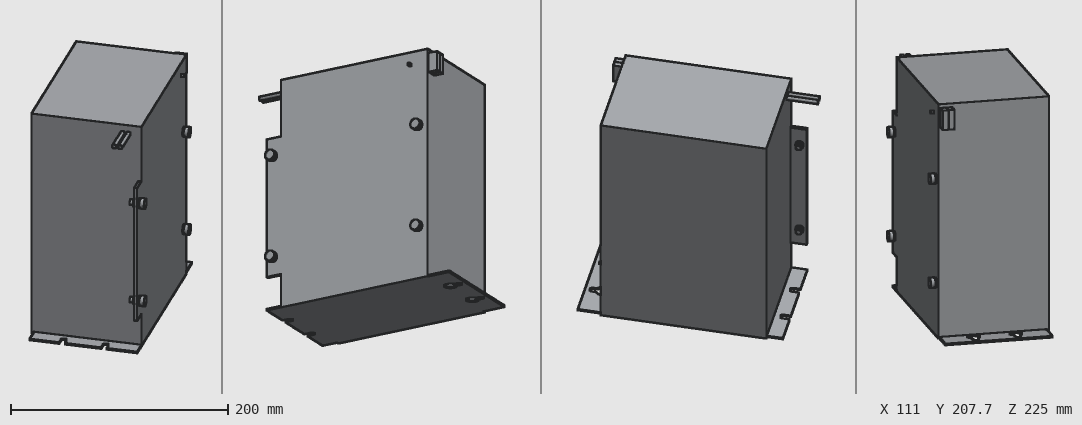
import cadquery as cq

BOX_X = 105.0
BOX_Y = 156.2
BOX_Z = 225.0

FLANGE_LEFT = 2.5
FLANGE_RIGHT = 104.2
FLANGE_THICKNESS = 1.5
FRONT_FLANGE_LENGTH = 15.0
REAR_FLANGE_LENGTH = 22.3
MOUNT_PITCH = 40.0
MOUNT_CENTRE = (FLANGE_LEFT + FLANGE_RIGHT) / 2
MOUNT_XS = (MOUNT_CENTRE - MOUNT_PITCH / 2, MOUNT_CENTRE + MOUNT_PITCH / 2)
SLOT_WIDTH = 5.5
SLOT_DEPTH = 9.2
KEYHOLE_DIAMETER = 11.7
KEYHOLE_REACH = 17.8

BRACKET_THICKNESS = 3.0
BRACKET_BOTTOM = 33.0
BRACKET_HEIGHT = 136.1

BOLT_ZS = (51.0, 151.0)
BOLT_Y = -8.5
REAR_BOLT_Y = 146.0
WASHER_DIAMETER = 9.0
HEAD_DIAMETER = 10.0
HEAD_END = 111.0
HEAD_THICKNESS = 4.5
COLLAR_DIAMETER = 7.5
COLLAR_THICKNESS = 2.0
STUD_DIAMETER = 5.5
STUD_END = 96.8

PIN_DIAMETER = 2.7
PIN_LENGTH = 3.0
PIN_Y = 138.0
PIN_Z = 212.5

CABLE_DIAMETER = 4.0
CABLE_LENGTH = 29.2
CABLE_XS = (87.0, 92.7)
CABLE_Z = 216.5

TERMINAL_LEFT = 92.2
TERMINAL_PITCH = 5.6
TERMINAL_GAP = 0.2
TERMINAL_DEPTH = 9.0
TERMINAL_HEIGHT = 18.7
TERMINAL_TOP = 221.5

OVERLAP = 1.1


def block(x0, x1, y0, y1, z0, z1):
    """Box between two opposite corners."""
    return cq.Workplane("XY").box(x1 - x0, y1 - y0, z1 - z0, centered=False).translate((x0, y0, z0))


def rod_x(diameter, x0, x1, y, z):
    """Cylinder along X."""
    return cq.Workplane("YZ", origin=(x0, y, z)).circle(diameter / 2).extrude(x1 - x0)


def front_flange():
    flange = block(FLANGE_LEFT, BOX_X, -FRONT_FLANGE_LENGTH, OVERLAP, 0, FLANGE_THICKNESS)
    arc_centre_y = -FRONT_FLANGE_LENGTH + SLOT_DEPTH - SLOT_WIDTH / 2
    for x in MOUNT_XS:
        half = SLOT_WIDTH / 2
        round_end = cq.Workplane("XY").center(x, arc_centre_y).circle(half).extrude(FLANGE_THICKNESS)
        mouth = block(x - half, x + half, -FRONT_FLANGE_LENGTH, arc_centre_y, 0, FLANGE_THICKNESS)
        flange = flange.cut(round_end).cut(mouth)
    return flange


def rear_flange():
    flange = block(FLANGE_LEFT, FLANGE_RIGHT, BOX_Y - OVERLAP, BOX_Y + REAR_FLANGE_LENGTH, 0, FLANGE_THICKNESS)
    entry_y = BOX_Y + KEYHOLE_DIAMETER / 2
    arc_centre_y = BOX_Y + KEYHOLE_REACH - SLOT_WIDTH / 2
    for x in MOUNT_XS:
        half = SLOT_WIDTH / 2
        entry = cq.Workplane("XY").center(x, entry_y).circle(KEYHOLE_DIAMETER / 2).extrude(FLANGE_THICKNESS)
        neck = block(x - half, x + half, entry_y, arc_centre_y, 0, FLANGE_THICKNESS)
        round_end = cq.Workplane("XY").center(x, arc_centre_y).circle(half).extrude(FLANGE_THICKNESS)
        flange = flange.cut(entry).cut(neck).cut(round_end)
    return flange


def bracket():
    return block(
        BOX_X - BRACKET_THICKNESS, BOX_X,
        -FRONT_FLANGE_LENGTH, OVERLAP,
        BRACKET_BOTTOM, BRACKET_BOTTOM + BRACKET_HEIGHT,
    )


def bolt_head(y, z):
    """Washer and round head standing on the right side."""
    washer = rod_x(WASHER_DIAMETER, BOX_X - OVERLAP, HEAD_END - HEAD_THICKNESS, y, z)
    return washer.union(rod_x(HEAD_DIAMETER, HEAD_END - HEAD_THICKNESS, HEAD_END, y, z))


def bolt_tail(y, z):
    """Collar and stud end on the inner face of the bracket."""
    inner_face = BOX_X - BRACKET_THICKNESS
    collar = rod_x(COLLAR_DIAMETER, inner_face - COLLAR_THICKNESS, inner_face, y, z)
    return collar.union(rod_x(STUD_DIAMETER, STUD_END, inner_face, y, z))


def cable(x):
    plane = cq.Workplane("XZ", origin=(x, OVERLAP, CABLE_Z))
    return plane.circle(CABLE_DIAMETER / 2).extrude(CABLE_LENGTH + OVERLAP)


def terminal(index):
    left = TERMINAL_LEFT + index * TERMINAL_PITCH
    return block(
        left, left + TERMINAL_PITCH - TERMINAL_GAP,
        BOX_Y - OVERLAP, BOX_Y + TERMINAL_DEPTH,
        TERMINAL_TOP - TERMINAL_HEIGHT, TERMINAL_TOP,
    )


result = block(0, BOX_X, 0, BOX_Y, 0, BOX_Z)
result = result.union(front_flange()).union(rear_flange()).union(bracket())
for bolt_z in BOLT_ZS:
    result = result.union(bolt_head(BOLT_Y, bolt_z))
    result = result.union(bolt_tail(BOLT_Y, bolt_z))
    result = result.union(bolt_head(REAR_BOLT_Y, bolt_z))
result = result.union(rod_x(PIN_DIAMETER, BOX_X - OVERLAP, BOX_X + PIN_LENGTH, PIN_Y, PIN_Z))
for cable_x in CABLE_XS:
    result = result.union(cable(cable_x))
for terminal_index in range(2):
    result = result.union(terminal(terminal_index))